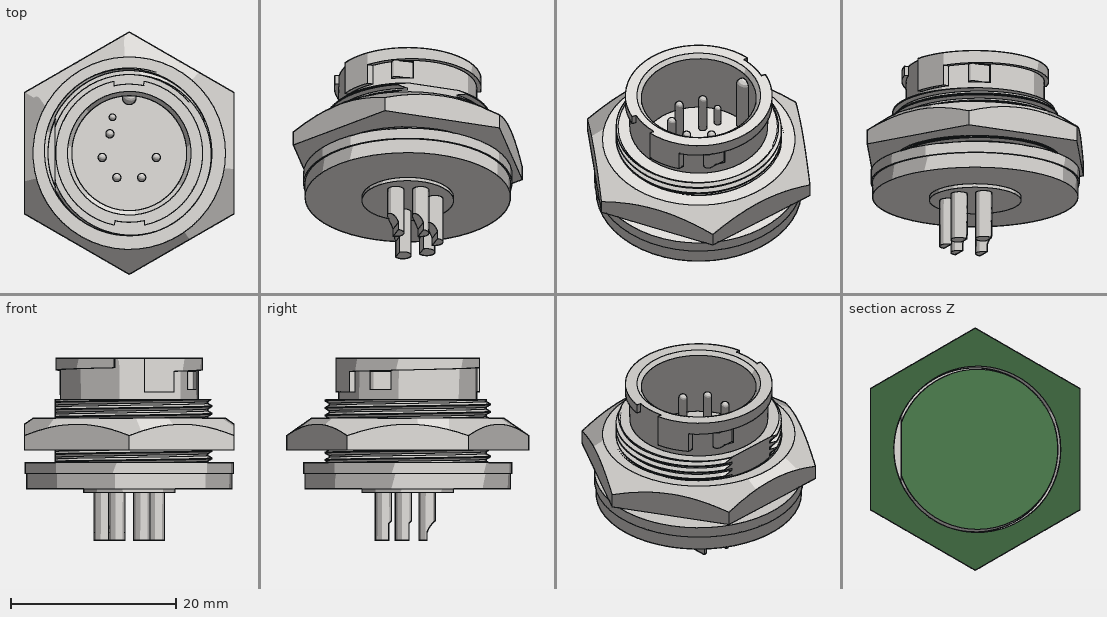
import cadquery as cq
import math

FLANGE_RADIUS = 12.6
FLANGE_BASE_RADIUS = 12.45
FLANGE_STEP_Z = 1.85
FLANGE_TOP_Z = 3.2
REAR_BOSS_RADIUS = 5.55
REAR_BOSS_HEIGHT = 0.45
SHOULDER_Z = 10.8
BARREL_FLAT_X = -8.97

TEN_TURN_LENGTH = 9.0
THREAD_PITCH = TEN_TURN_LENGTH / 10
THREAD_RADIUS = 10.0
CREST_WIDTH = THREAD_PITCH / 8
ROOT_WIDTH = THREAD_PITCH / 4
FLANK_SLOPE = math.tan(math.radians(30))
THREAD_DEPTH = (THREAD_PITCH - CREST_WIDTH - ROOT_WIDTH) / 2 / FLANK_SLOPE
MOUTH_OVERHANG = 0.05
GROOVE_PHASE = 0.05
GROOVE_Z = FLANGE_TOP_Z + GROOVE_PHASE

TOP_Z = 15.85
SLEEVE_RADIUS = 8.35
RING_RADIUS = 8.9
RING_INNER_RADIUS = 8.07
BORE_RADIUS = 6.95
BORE_FLOOR_Z = 7.35
MOUTH_CHAMFER_WIDTH = 0.53
MOUTH_CHAMFER_DEPTH = 0.45
NOTCH_WIDTH = 3.65
RAMP_HIGH_Z = 14.66
RAMP_LOW_Z = 14.23
LUG_OUTER_X = 5.43
LUG_BOTTOM_Z = 11.73

DETENT_FACE_X = 7.83
DETENT_NEAR_Y = 2.05
DETENT_FAR_Y = 4.02
DETENT_ROUND_RADIUS = 0.55
DETENT_BOTTOM_Z = 12.03

CONTACT_COUNT = 5
CONTACT_CIRCLE_RADIUS = 3.3
CONTACT_FIRST_ANGLE = 135
CONTACT_SPACING_ANGLE = 54
CONTACT_RADIUS = 0.5
CONTACT_DOME_Z = 12.03
TAIL_RADIUS = 1.0
TAIL_BOTTOM_Z = -6.22
CUP_TOP_Z = -3.85
CUP_BOTTOM_Z = -5.25
CUP_RUN_OUT_BULGE = 0.35
CUP_WALL_RIGHT = 0.67
KEY_RADIUS = 0.82
KEY_Y = 6.7
KEY_DOME_Z = 13.87
CODING_PIN_RADIUS = 0.4
CODING_PIN_X = -2.02
CODING_PIN_Y = 4.35
CODING_PIN_DOME_Z = 9.68

NUT_ACROSS_CORNERS = 29.33
NUT_BOTTOM_Z = 4.7
NUT_TOP_Z = 8.55
NUT_FACE_RADIUS = 11.65
NUT_CORNER_Z = 6.45
NUT_THREAD_CLEARANCE = 0.32


def cylinder(radius, bottom_z, top_z, x=0, y=0):
    return cq.Workplane("XY", origin=(x, y, bottom_z)).circle(radius).extrude(top_z - bottom_z)


def block(x_range, y_range, z_range):
    (x0, x1), (y0, y1), (z0, z1) = x_range, y_range, z_range
    return cq.Workplane("XY").box(x1 - x0, y1 - y0, z1 - z0, centered=False).translate((x0, y0, z0))


def domed_pin(radius, bottom_z, dome_z, x, y):
    dome = cq.Workplane("XY", origin=(x, y, dome_z)).sphere(radius)
    return cylinder(radius, bottom_z, dome_z, x, y).union(dome)


def threaded_rod(bottom_z, top_z, clearance=0.0):
    """Rod with a right-handed thread; `clearance` enlarges it radially for the bore of the nut."""
    crest_radius = THREAD_RADIUS + clearance
    root_radius = crest_radius - THREAD_DEPTH
    mouth_radius = crest_radius + MOUTH_OVERHANG
    root_half = ROOT_WIDTH / 2
    mouth_half = root_half + (mouth_radius - root_radius) * FLANK_SLOPE

    turns_below = math.ceil((GROOVE_Z - bottom_z) / THREAD_PITCH) + 1
    start_z = GROOVE_Z - turns_below * THREAD_PITCH
    groove_length = top_z - start_z + 2 * THREAD_PITCH
    groove_section = (
        cq.Workplane("XZ")
        .polyline(
            [
                (root_radius, start_z - root_half),
                (mouth_radius, start_z - mouth_half),
                (mouth_radius, start_z + mouth_half),
                (root_radius, start_z + root_half),
            ]
        )
        .close()
    )
    path = cq.Wire.makeHelix(THREAD_PITCH, groove_length, root_radius).translate(cq.Vector(0, 0, start_z))
    groove = groove_section.sweep(cq.Workplane(path), isFrenet=True)
    long_rod = cylinder(crest_radius, start_z - THREAD_PITCH, start_z + groove_length + THREAD_PITCH)
    return long_rod.cut(groove).intersect(cylinder(mouth_radius, bottom_z, top_z))


def make_flange():
    flange = cylinder(FLANGE_BASE_RADIUS, 0, FLANGE_STEP_Z)
    flange = flange.union(cylinder(FLANGE_RADIUS, FLANGE_STEP_Z, FLANGE_TOP_Z))
    return flange.union(cylinder(REAR_BOSS_RADIUS, -REAR_BOSS_HEIGHT, 0))


def make_threaded_barrel():
    beyond_flat = block(
        (-2 * THREAD_RADIUS, BARREL_FLAT_X), (-THREAD_RADIUS, THREAD_RADIUS), (FLANGE_TOP_Z, SHOULDER_Z)
    )
    return threaded_rod(FLANGE_TOP_Z, SHOULDER_Z).cut(beyond_flat)


def make_ramp_ring_half():
    """Ring segment on the -X side, from the lug near +Y round to the -Y notch.

    Its underside rises at a constant rate away from the lug.
    """
    lug_angle = 90 + math.degrees(math.asin(LUG_OUTER_X / RING_RADIUS))
    notch_angle = 270 - math.degrees(math.asin(NOTCH_WIDTH / 2 / RING_RADIUS))
    rise = RAMP_HIGH_Z - RAMP_LOW_Z
    rise_per_turn = rise * 360 / (notch_angle - lug_angle)
    path = cq.Wire.makeHelix(rise_per_turn, rise, RING_RADIUS).translate(cq.Vector(0, 0, RAMP_LOW_Z))
    section_top_z = TOP_Z + rise
    ramp = (
        cq.Workplane("XZ")
        .moveTo(RING_INNER_RADIUS, RAMP_LOW_Z)
        .lineTo(RING_RADIUS, RAMP_LOW_Z)
        .lineTo(RING_RADIUS, section_top_z)
        .lineTo(RING_INNER_RADIUS, section_top_z)
        .close()
        .sweep(cq.Workplane(path), isFrenet=True)
        .rotate((0, 0, 0), (0, 0, 1), lug_angle)
    )
    return ramp.intersect(cylinder(2 * RING_RADIUS, SHOULDER_Z, TOP_Z))


def make_lug():
    """Bayonet lug on the -X side of the +Y notch."""
    ring = cylinder(RING_RADIUS, LUG_BOTTOM_Z, TOP_Z).cut(cylinder(RING_INNER_RADIUS, LUG_BOTTOM_Z, TOP_Z))
    return ring.intersect(block((-LUG_OUTER_X, -NOTCH_WIDTH / 2), (0, RING_RADIUS), (LUG_BOTTOM_Z, TOP_Z)))


def make_detent():
    """Flat-faced stop on the -X side, with a rounded far end."""
    heights = (DETENT_BOTTOM_Z, RAMP_LOW_Z)
    round_x = DETENT_ROUND_RADIUS - DETENT_FACE_X
    flat_part = block((-DETENT_FACE_X, -BORE_RADIUS), (DETENT_NEAR_Y, DETENT_FAR_Y), heights)
    rounded_end = cylinder(DETENT_ROUND_RADIUS, *heights, round_x, DETENT_FAR_Y)
    return flat_part.union(rounded_end)


def make_detent_recess():
    """Space in front of the flat face of the detent, within the sleeve's outline."""
    return block(
        (-SLEEVE_RADIUS, -DETENT_FACE_X), (DETENT_NEAR_Y, DETENT_FAR_Y), (DETENT_BOTTOM_Z, RAMP_LOW_Z)
    )


def both_sides(shape):
    """The shape together with its copy half a turn round the axis."""
    return [shape, shape.rotate((0, 0, 0), (0, 0, 1), 180)]


def make_sleeve():
    sleeve = cylinder(SLEEVE_RADIUS, SHOULDER_Z, TOP_Z)
    for recess in both_sides(make_detent_recess()):
        sleeve = sleeve.cut(recess)
    for feature in (make_detent(), make_ramp_ring_half(), make_lug()):
        for copy in both_sides(feature):
            sleeve = sleeve.union(copy)
    return sleeve


def make_bore():
    bore = cylinder(BORE_RADIUS, BORE_FLOOR_Z, TOP_Z)
    mouth_bottom_z = TOP_Z - MOUTH_CHAMFER_DEPTH
    mouth = (
        cq.Workplane("XZ")
        .moveTo(0, mouth_bottom_z)
        .lineTo(BORE_RADIUS, mouth_bottom_z)
        .lineTo(BORE_RADIUS + MOUTH_CHAMFER_WIDTH, TOP_Z)
        .lineTo(0, TOP_Z)
        .close()
        .revolve(360, (0, 0, 0), (0, 1, 0))
    )
    return bore.union(mouth)


def make_solder_tail(x, y):
    """Round tail, cut away on its +Y side at the end with a curved run-out.

    On the +X side of the connector the cut stops short of the tail's centre.
    """
    tail = cylinder(TAIL_RADIUS, TAIL_BOTTOM_Z, 0, x, y)
    outer_y = y + TAIL_RADIUS
    run_out_mid = (y + CUP_RUN_OUT_BULGE * TAIL_RADIUS, (CUP_TOP_Z + CUP_BOTTOM_Z) / 2)
    cup_cut = (
        cq.Workplane("YZ", origin=(x, 0, 0))
        .moveTo(y, TAIL_BOTTOM_Z)
        .lineTo(y, CUP_BOTTOM_Z)
        .threePointArc(run_out_mid, (outer_y, CUP_TOP_Z))
        .lineTo(outer_y, TAIL_BOTTOM_Z)
        .close()
        .extrude(TAIL_RADIUS, both=True)
    )
    if x > 0:
        tail_width = (x - TAIL_RADIUS, x + TAIL_RADIUS)
        kept_wall = block(tail_width, (y, y + CUP_WALL_RIGHT), (TAIL_BOTTOM_Z, CUP_TOP_Z))
        cup_cut = cup_cut.cut(kept_wall)
    return tail.cut(cup_cut)


def make_connector():
    connector = make_flange().union(make_threaded_barrel()).union(make_sleeve()).cut(make_bore())
    for index in range(CONTACT_COUNT):
        angle = math.radians(CONTACT_FIRST_ANGLE + index * CONTACT_SPACING_ANGLE)
        x = CONTACT_CIRCLE_RADIUS * math.cos(angle)
        y = CONTACT_CIRCLE_RADIUS * math.sin(angle)
        connector = connector.union(domed_pin(CONTACT_RADIUS, BORE_FLOOR_Z, CONTACT_DOME_Z, x, y))
        connector = connector.union(make_solder_tail(x, y))
    connector = connector.union(domed_pin(KEY_RADIUS, BORE_FLOOR_Z, KEY_DOME_Z, 0, KEY_Y))
    return connector.union(
        domed_pin(CODING_PIN_RADIUS, BORE_FLOOR_Z, CODING_PIN_DOME_Z, CODING_PIN_X, CODING_PIN_Y)
    )


def make_nut():
    hexagon = (
        cq.Workplane("XY", origin=(0, 0, NUT_BOTTOM_Z))
        .polygon(6, NUT_ACROSS_CORNERS)
        .extrude(NUT_TOP_Z - NUT_BOTTOM_Z)
        .rotate((0, 0, 0), (0, 0, 1), 30)
    )
    chamfered_disc = (
        cq.Workplane("XZ")
        .moveTo(0, NUT_BOTTOM_Z)
        .lineTo(NUT_ACROSS_CORNERS / 2, NUT_BOTTOM_Z)
        .lineTo(NUT_ACROSS_CORNERS / 2, NUT_CORNER_Z)
        .lineTo(NUT_FACE_RADIUS, NUT_TOP_Z)
        .lineTo(0, NUT_TOP_Z)
        .close()
        .revolve(360, (0, 0, 0), (0, 1, 0))
    )
    threaded_bore = threaded_rod(NUT_BOTTOM_Z, NUT_TOP_Z, NUT_THREAD_CLEARANCE)
    return hexagon.intersect(chamfered_disc).cut(threaded_bore)


connector = make_connector()
nut = make_nut()

result = cq.Compound.makeCompound([connector.solids().val(), nut.solids().val()])